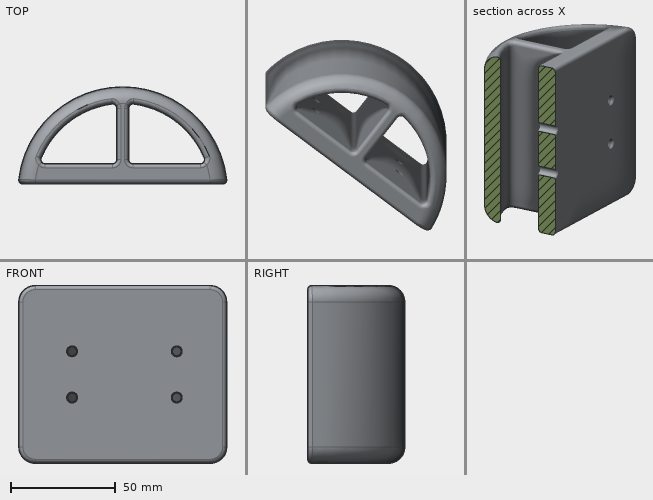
import cadquery as cq
import math

width = 99.4
depth = 46.4
height = 85.0

curved_wall = 7.9
flat_wall = 9.7
rib_width = 5.8

dome_round = 7.9
back_round = 2.0
pocket_corner_round = 2.0
pocket_rim_round = 2.0

inset_half_width = width / 2 - back_round
inset_depth = depth - back_round
outer_radius = (inset_half_width**2 + inset_depth**2 - back_round**2) / (2 * (inset_depth - back_round))
arc_center_y = depth - outer_radius
inner_radius = outer_radius - curved_wall

hole_diameter = 4.2
hole_mouth_chamfer = 0.5
hole_spacing_x = 50.0
hole_spacing_z = 22.1
hole_pattern_x = 0.8


def arc_half_width(radius, y):
    """Half the chord, at the given Y, of a circle about the arc center."""
    return math.sqrt(radius**2 - (y - arc_center_y) ** 2)


def make_body():
    half_width = arc_half_width(outer_radius, 0)
    body = (
        cq.Workplane("XY")
        .workplane(offset=-height / 2)
        .moveTo(-half_width, 0)
        .threePointArc((0, depth), (half_width, 0))
        .close()
        .extrude(height)
    )
    body = body.faces("|Z").edges("%CIRCLE").fillet(dome_round)
    return body.faces("<Y").edges().fillet(back_round)


def make_pocket(side):
    """Pocket on one side of the rib; side is -1 or +1."""
    rib_x = rib_width / 2
    rib_end_y = arc_center_y + math.sqrt(inner_radius**2 - rib_x**2)
    corner_x = arc_half_width(inner_radius, flat_wall)
    arc_middle = inner_radius * math.sqrt(0.5)
    return (
        cq.Workplane("XY")
        .workplane(offset=-height / 2)
        .moveTo(side * rib_x, flat_wall)
        .lineTo(side * corner_x, flat_wall)
        .threePointArc((side * arc_middle, arc_center_y + arc_middle), (side * rib_x, rib_end_y))
        .close()
        .extrude(height)
        .edges("|Z")
        .fillet(pocket_corner_round)
    )


def round_pocket_rims(body):
    """Round the pocket mouths at both ends of the block."""
    margin = 0.1
    half_length = arc_half_width(inner_radius, flat_wall) + margin
    front_y = flat_wall - margin
    rear_y = depth - curved_wall + margin
    for end in (-1, 1):
        near_z = end * (height - dome_round) / 2
        far_z = end * (height / 2 + margin)
        zone = cq.selectors.BoxSelector((-half_length, front_y, near_z), (half_length, rear_y, far_z))
        body = body.edges(zone).fillet(pocket_rim_round)
    return body


def make_holes():
    centers = [
        (hole_pattern_x + sx * hole_spacing_x / 2, sz * hole_spacing_z / 2)
        for sx in (-1, 1)
        for sz in (-1, 1)
    ]
    plane = cq.Workplane("XZ").pushPoints(centers)
    shanks = plane.circle(hole_diameter / 2).extrude(-flat_wall)
    mouth_radius = hole_diameter / 2 + hole_mouth_chamfer
    mouths = plane.circle(mouth_radius).extrude(-hole_mouth_chamfer, taper=45)
    return shanks.union(mouths)


body = make_body()
for side in (-1, 1):
    body = body.cut(make_pocket(side))
body = round_pocket_rims(body)
result = body.cut(make_holes())